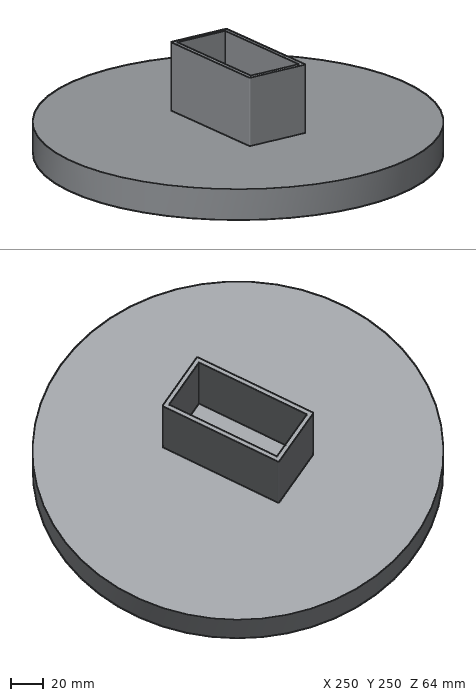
import cadquery as cq

base_diameter = 250
base_thickness = 20

socket_length = 82.0
socket_width = 42.0
socket_height = 44.0
wall_thickness = 3.0
corner_radius = 0.8

base = cq.Workplane("XY").circle(base_diameter / 2).extrude(base_thickness)

block = (
    cq.Workplane("XY", origin=(0, 0, base_thickness))
    .rect(socket_length, socket_width)
    .extrude(socket_height)
    .edges("|Z")
    .fillet(corner_radius)
)

cavity = (
    cq.Workplane("XY", origin=(0, 0, base_thickness))
    .rect(socket_length - 2 * wall_thickness, socket_width - 2 * wall_thickness)
    .extrude(socket_height)
)

result = base.union(block.cut(cavity))